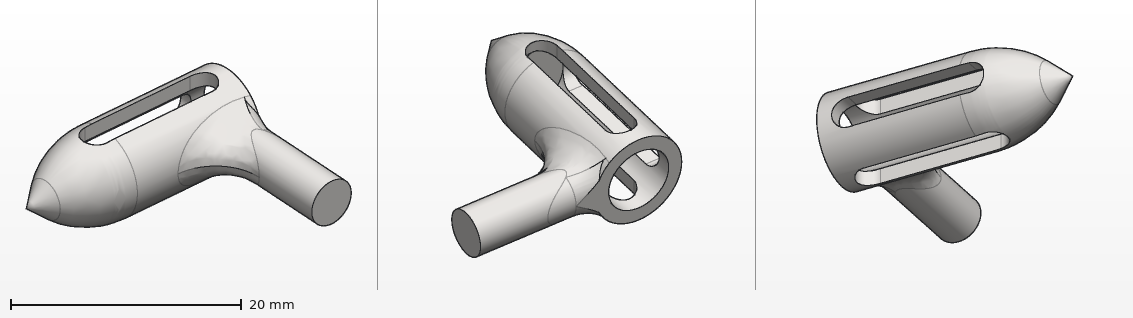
import cadquery as cq
import math

body_length = 23.0
body_diameter = 9.0
body_radius = body_diameter / 2
straight_length = 14.15
nose_arc_radius = 10.0
cone_length = 2.2

width_x = 21.0
stem_radius = 2.25
stem_end_x = width_x - body_radius
stem_fillet = 5.0

slot_width = 3.0
slot_start = 1.5
slot_end = 16.5
slot_length = slot_end - slot_start
slot_center_y = -(slot_start + slot_end) / 2

bore_radius = 3.13
bore_depth = slot_end

trim_length = 9.2


def nose_radius(distance):
    """Radius of the rounded nose at a distance beyond the straight stretch."""
    return body_radius - nose_arc_radius + math.sqrt(nose_arc_radius**2 - distance**2)


def make_body():
    nose_length = body_length - straight_length - cone_length
    middle = nose_length / 2
    return (
        cq.Workplane("XY")
        .moveTo(0, trim_length)
        .lineTo(body_radius, trim_length)
        .lineTo(body_radius, -straight_length)
        .threePointArc(
            (nose_radius(middle), -straight_length - middle),
            (nose_radius(nose_length), -straight_length - nose_length),
        )
        .lineTo(0, -body_length)
        .close()
        .revolve(360, (0, 0, 0), (0, 1, 0))
    )


def make_stem():
    return cq.Workplane("YZ").center(-stem_radius, 0).circle(stem_radius).extrude(stem_end_x)


def add_stem(body):
    joined = body.union(make_stem())
    joint = cq.selectors.BoxSelector(
        (body_radius / 2, -3 * stem_radius, -2 * stem_radius),
        (body_radius + 0.23, stem_radius, 2 * stem_radius),
    )
    return joined.edges(joint).fillet(stem_fillet)


def round_fillet_end(part, body):
    ring_radius = stem_radius + stem_fillet
    ball_z = math.sqrt(ring_radius**2 - stem_radius**2)
    ball_x = math.sqrt((body_radius + stem_fillet) ** 2 - ball_z**2)
    arc_offset = stem_fillet * math.sqrt(0.5)
    clearance = (
        cq.Workplane("XY")
        .workplane(origin=(0, -stem_radius, 0))
        .transformed(rotate=(-90, 0, 0))
        .moveTo(ball_x, stem_radius)
        .threePointArc(
            (ball_x - arc_offset, ring_radius - arc_offset),
            (ball_x - stem_fillet, ring_radius),
        )
        .lineTo(stem_end_x, ring_radius)
        .lineTo(stem_end_x, stem_radius)
        .close()
        .revolve(180, (0, 0, 0), (1, 0, 0))
    )
    return part.cut(clearance.cut(body))


def trim_open_end(part):
    size = 2 * width_x
    excess = cq.Workplane("XZ").rect(size, size).extrude(-2 * trim_length)
    return part.cut(excess)


def cut_bore(part):
    return part.cut(cq.Workplane("XZ").circle(bore_radius).extrude(bore_depth))


def cut_slots(part):
    through_z = (
        cq.Workplane("XY")
        .center(0, slot_center_y)
        .slot2D(slot_length, slot_width, 90)
        .extrude(body_radius, both=True)
    )
    left_side = (
        cq.Workplane("YZ")
        .center(slot_center_y, 0)
        .slot2D(slot_length, slot_width)
        .extrude(-body_radius)
    )
    return part.cut(through_z).cut(left_side)


body = make_body()
result = add_stem(body)
result = round_fillet_end(result, body)
result = trim_open_end(result)
result = cut_bore(result)
result = cut_slots(result)